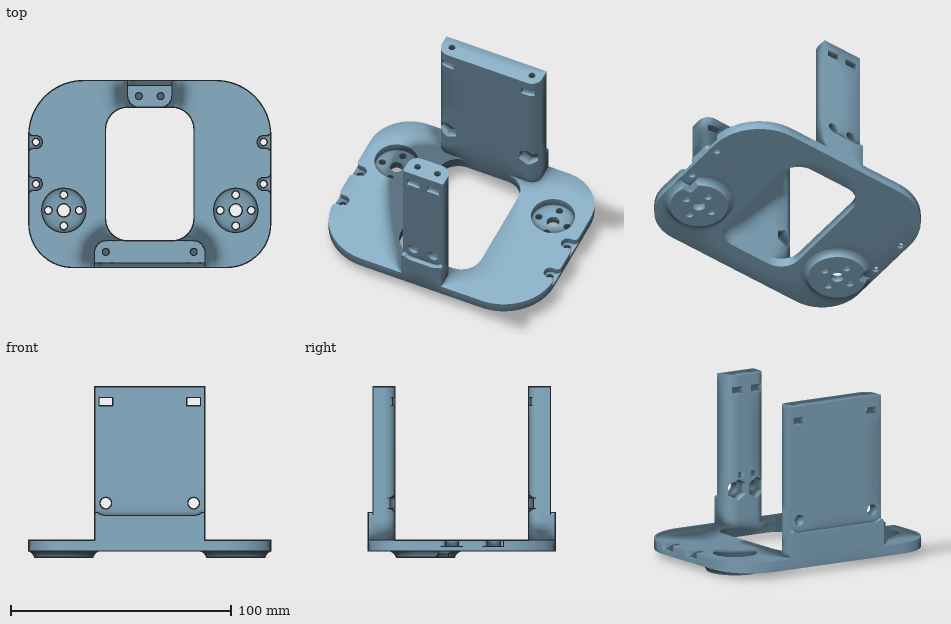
import cadquery as cq
import math

plate_length = 110.0
plate_width = 85.0
plate_thickness = 5.0
front_corner_radius = 20.0
rear_corner_radius = 25.0
total_height = 77.5

window_width = 40.0
window_corner_radius = 10.0

boss_height = 2.9
boss_radius = 13.2
flare_radius = 15.8
flare_mid_radius = 14.1
flare_mid_drop = 1.2
boss_x = 39.0
boss_y = -16.5
horn_diameter = 20.1
horn_depth = 4.0
horn_center_diameter = 5.8
horn_screw_diameter = 3.4
horn_screw_offset = 7.0

side_hole_diameter = 3.2
side_hole_inset = 3.3
side_hole_ys = (-4.5, 14.5)
notch_radius = 3.0
notch_flare = 2.0
notch_depth = 2.9

clearance_reach = 6.6
clearance_length = 12.1
clearance_height = 1.3
clearance_angle = 45

front_post_width = 50.0
rear_post_width = 20.0
post_depth = 12.2
post_corner_radius = 5.1
hole_inset = 5.1
top_hole_diameter = 3.2
top_hole_depth = 13.2
nut_slot_width = 6.2
nut_slot_height = 3.6
nut_slot_drop = 6.8
cross_hole_diameter = 5.2
cross_hole_z = 21.8
nut_flats = 8.5
nut_depth = 5.0

relief_depth = 2.2
relief_radius = 5.6
relief_lip_radius = 1.0

pocket_width = 2.3
pocket_flare = 1.2
pocket_height = 3.2
pocket_depth = 3.3
pocket_z = 26.8

post_top = total_height - boss_height


def cylinder(x, y, z0, z1, diameter):
    return cq.Workplane("XY", origin=(x, y, z0)).circle(diameter / 2).extrude(z1 - z0)


def make_plate():
    plate = cq.Workplane("XY").box(plate_length, plate_width, plate_thickness, centered=(True, True, False))
    plate = plate.edges("|Z and <Y").fillet(front_corner_radius)
    plate = plate.edges("|Z and >Y").fillet(rear_corner_radius)
    window = cq.Workplane("XY").rect(window_width, plate_width - 2 * post_depth).extrude(plate_thickness)
    return plate.cut(window.edges("|Z").fillet(window_corner_radius))


def make_boss(x):
    """Round boss that flares out to meet the underside of the plate."""
    profile = (
        cq.Workplane("XZ")
        .moveTo(0, 0)
        .lineTo(flare_radius, 0)
        .threePointArc((flare_mid_radius, -flare_mid_drop), (boss_radius, -boss_height))
        .lineTo(0, -boss_height)
        .close()
    )
    return profile.revolve(360, (0, 0, 0), (0, 1, 0)).translate((x, boss_y, 0))


def make_horn_cuts(x):
    floor_z = plate_thickness - horn_depth
    cuts = cylinder(x, boss_y, floor_z, plate_thickness, horn_diameter)
    cuts = cuts.union(cylinder(x, boss_y, -boss_height, floor_z, horn_center_diameter))
    for step in range(4):
        angle = step * math.pi / 2
        screw_x = x + horn_screw_offset * math.cos(angle)
        screw_y = boss_y + horn_screw_offset * math.sin(angle)
        cuts = cuts.union(cylinder(screw_x, screw_y, -boss_height, floor_z, horn_screw_diameter))
    return cuts


def make_notch(y):
    """Screw hole in the +X side with a round seat that flares out at the plate edge."""
    edge_x = plate_length / 2
    hole_x = edge_x - side_hole_inset
    mouth = notch_radius + notch_flare
    bend = notch_flare * (1 - math.sqrt(0.5))
    seat = (
        cq.Workplane("XY", origin=(0, y, plate_thickness - notch_depth))
        .moveTo(edge_x, mouth)
        .threePointArc((edge_x - bend, notch_radius + bend), (edge_x - notch_flare, notch_radius))
        .lineTo(hole_x, notch_radius)
        .threePointArc((hole_x - notch_radius, 0), (hole_x, -notch_radius))
        .lineTo(edge_x - notch_flare, -notch_radius)
        .threePointArc((edge_x - bend, -notch_radius - bend), (edge_x, -mouth))
        .close()
        .extrude(notch_depth)
    )
    return seat.union(cylinder(hole_x, y, 0, plate_thickness, side_hole_diameter))


def make_clearance():
    """Straight-walled pocket against the plate that widens at a slant below."""
    center = (plate_length / 2 - clearance_reach / 2, side_hole_ys[0])
    straight = cq.Workplane("XY", origin=(*center, -clearance_height))
    straight = straight.rect(clearance_reach, clearance_length).extrude(clearance_height)
    widening = straight.faces("<Z").workplane().rect(clearance_reach, clearance_length)
    widening = widening.extrude(boss_height - clearance_height, taper=-clearance_angle, combine=False)
    return straight.union(widening)


def make_relief(width):
    """Recess in the outer face, dipping round the cross holes and rising to a lip at each side."""
    half = width / 2
    hole_x = half - hole_inset
    lip_x = half - relief_lip_radius
    reach = relief_radius + relief_lip_radius
    lip_z = -math.sqrt(reach**2 - (lip_x - hole_x) ** 2)
    lean = math.atan2(lip_x - hole_x, -lip_z)
    meet = (hole_x + relief_radius * math.sin(lean), -relief_radius * math.cos(lean))
    dip = (hole_x + relief_radius * math.sin(lean / 2), -relief_radius * math.cos(lean / 2))
    top = post_top - cross_hole_z
    right_half = (
        cq.Workplane("XZ")
        .moveTo(0, top)
        .lineTo(0, -relief_radius)
        .lineTo(hole_x, -relief_radius)
        .threePointArc(dip, meet)
        .threePointArc((lip_x, lip_z + relief_lip_radius), (half, lip_z))
        .lineTo(half, top)
        .close()
        .extrude(-relief_depth)
    )
    return right_half.union(right_half.mirror("YZ")).translate((0, 0, cross_hole_z))


def make_post(width):
    """Post with its outer face on Y = 0 and its rounded inner face on Y = post_depth."""
    half = width / 2
    post = cq.Workplane("XY").box(width, post_depth, post_top, centered=(True, False, False))
    post = post.edges("|Z and >Y").fillet(post_corner_radius)
    post = post.cut(make_relief(width))
    hole_y = post_depth - hole_inset
    slot_z = post_top - nut_slot_drop
    for x in (hole_inset - half, half - hole_inset):
        post = post.cut(cylinder(x, hole_y, post_top - top_hole_depth, post_top, top_hole_diameter))
        slot = cq.Workplane("XY").box(nut_slot_width, 2 * post_depth, nut_slot_height)
        post = post.cut(slot.translate((x, post_depth / 2, slot_z)))
        across = cq.Workplane("XZ", origin=(x, 0, cross_hole_z))
        post = post.cut(across.circle(cross_hole_diameter / 2).extrude(-post_depth))
        nut = (
            cq.Workplane("XZ", origin=(x, post_depth, cross_hole_z))
            .transformed(rotate=(0, 0, 90))
            .polygon(6, nut_flats / math.cos(math.pi / 6))
            .extrude(nut_depth)
        )
        post = post.cut(nut)
    return post


def make_pocket():
    """Pocket in the inner face of the rear post, its mouth rounded towards the middle."""
    outer_x = rear_post_width / 2 - post_corner_radius
    inner_x = outer_x - pocket_width
    bend = pocket_flare * (1 - math.sqrt(0.5))
    return (
        cq.Workplane("XY", origin=(0, 0, pocket_z))
        .moveTo(outer_x, post_depth)
        .lineTo(outer_x, post_depth - pocket_depth)
        .lineTo(inner_x, post_depth - pocket_depth)
        .lineTo(inner_x, post_depth - pocket_flare)
        .threePointArc((inner_x - bend, post_depth - bend), (inner_x - pocket_flare, post_depth))
        .close()
        .extrude(pocket_height)
    )


result = make_plate()
for x in (-boss_x, boss_x):
    result = result.union(make_boss(x))
for x in (-boss_x, boss_x):
    result = result.cut(make_horn_cuts(x))

side_cuts = make_clearance()
for y in side_hole_ys:
    side_cuts = side_cuts.union(make_notch(y))
result = result.cut(side_cuts).cut(side_cuts.mirror("YZ"))

front_post = make_post(front_post_width)
rear_post = make_post(rear_post_width)
rear_post = rear_post.cut(make_pocket()).cut(make_pocket().mirror("YZ"))
result = result.union(front_post.translate((0, -plate_width / 2, 0)))
result = result.union(rear_post.mirror("XZ").translate((0, plate_width / 2, 0)))